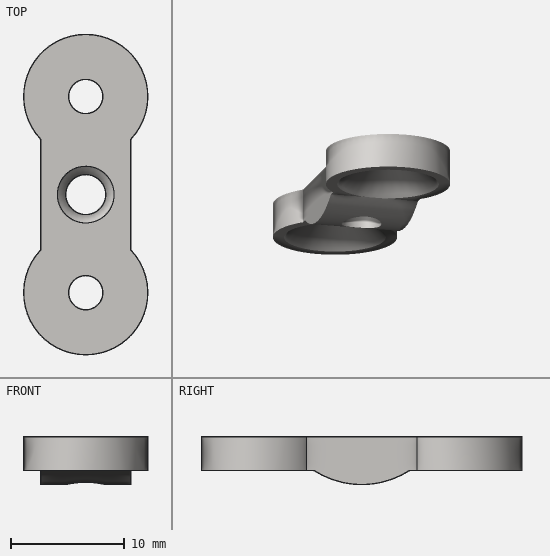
import cadquery as cq
import math

length = 28.32
end_diameter = 11.0
bar_width = 8.0
plate_thickness = 3.0
total_height = 4.25
belly_chord = 8.47
end_hole_diameter = 3.0
end_hole_angle = 90
center_hole_diameter = 3.5
countersink_diameter = 5.0
countersink_angle = 90

hole_spacing = length - end_diameter
belly_depth = total_height - plate_thickness
end_hole_flare = plate_thickness * math.tan(math.radians(end_hole_angle / 2))
end_hole_bottom_radius = end_hole_diameter / 2 + end_hole_flare
end_centers = [(0, -hole_spacing / 2), (0, hole_spacing / 2)]

bar = cq.Workplane("XY").box(bar_width, hole_spacing, plate_thickness, centered=(True, True, False))
ends = cq.Workplane("XY").pushPoints(end_centers).circle(end_diameter / 2).extrude(plate_thickness)
link = bar.union(ends)

belly = (
    cq.Workplane("YZ")
    .moveTo(-belly_chord / 2, 0)
    .threePointArc((0, -belly_depth), (belly_chord / 2, 0))
    .close()
    .extrude(bar_width / 2, both=True)
)
body = link.union(belly)

end_holes = (
    cq.Workplane("XY")
    .pushPoints(end_centers)
    .circle(end_hole_bottom_radius)
    .extrude(plate_thickness, taper=end_hole_angle / 2)
)
body = body.cut(end_holes)

result = (
    body.faces(">Z")
    .workplane(origin=(0, 0, plate_thickness))
    .cskHole(center_hole_diameter, countersink_diameter, countersink_angle)
)